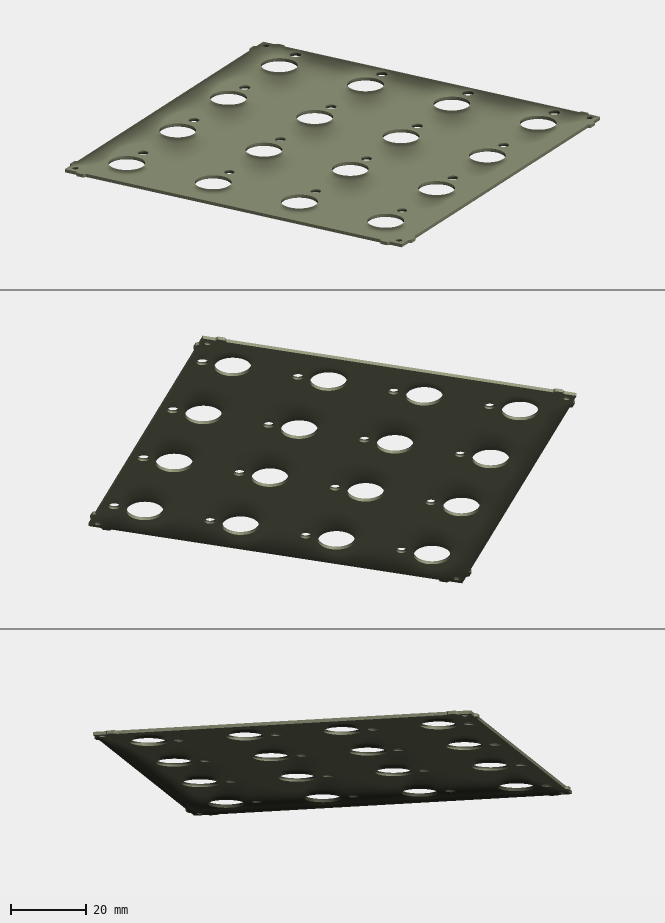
import cadquery as cq

OVERALL = 105.6
THICKNESS = 0.91
PLATE_SIDE = 104.12

BUMP_HEIGHT = (OVERALL - PLATE_SIDE) / 2
BUMP_TOP = 2.0
BUMP_SLOPE_RUN = 0.5
BUMP_CENTRE = 47.0

CORNER_HOLE_DIAMETER = 1.75
CORNER_HOLE_SPACING = 100.0

GRID_COUNT = 4
GRID_PITCH = 80 / 3
LARGE_HOLE_DIAMETER = 9.8
GAUGE_HOLE_OFFSET = 8.5
SMALLEST_GAUGE_DIAMETER = 2.75
GAUGE_STEP = 0.05
SIZES_PER_ROW = 2


def bump_centres():
    """Bump centres along one edge, from left to right."""
    return (-BUMP_CENTRE, BUMP_CENTRE)


def bump_outline(centre):
    """Flat-topped bump with sloping sides on the +Y edge, rooted inside the plate."""
    edge = PLATE_SIDE / 2
    half_top = BUMP_TOP / 2
    half_base = half_top + BUMP_SLOPE_RUN
    return [
        (centre - half_base, edge - BUMP_HEIGHT),
        (centre - half_base, edge),
        (centre - half_top, edge + BUMP_HEIGHT),
        (centre + half_top, edge + BUMP_HEIGHT),
        (centre + half_base, edge),
        (centre + half_base, edge - BUMP_HEIGHT),
    ]


def make_plate():
    """Square plate whose four edges each carry two bumps."""
    plate = cq.Workplane("XY").rect(PLATE_SIDE, PLATE_SIDE).extrude(THICKNESS)
    for quarter in range(4):
        for centre in bump_centres():
            bump = cq.Workplane("XY").polyline(bump_outline(centre)).close().extrude(THICKNESS)
            plate = plate.union(bump.rotate((0, 0, 0), (0, 0, 1), 90 * quarter))
    return plate


def drill(plate, points, diameter):
    """Cut round through holes at the given points."""
    holes = cq.Workplane("XY").pushPoints(points).circle(diameter / 2).extrude(THICKNESS)
    return plate.cut(holes)


def grid_position(index):
    """Coordinate of a row or column of the centred grid."""
    return (index - (GRID_COUNT - 1) / 2) * GRID_PITCH


def cut_corner_holes(plate):
    half = CORNER_HOLE_SPACING / 2
    corners = [(x, y) for x in (-half, half) for y in (-half, half)]
    return drill(plate, corners, CORNER_HOLE_DIAMETER)


def cut_grid_holes(plate):
    """Gauge holes grow upward; in each pair of columns the left hole is one step larger."""
    for row in range(GRID_COUNT):
        for column in range(GRID_COUNT):
            x = grid_position(column)
            y = grid_position(row)
            size_index = (row + 1) * SIZES_PER_ROW - 1 - column % SIZES_PER_ROW
            gauge_diameter = SMALLEST_GAUGE_DIAMETER + GAUGE_STEP * size_index
            plate = drill(plate, [(x, y)], LARGE_HOLE_DIAMETER)
            plate = drill(plate, [(x, y + GAUGE_HOLE_OFFSET)], gauge_diameter)
    return plate


result = cut_grid_holes(cut_corner_holes(make_plate()))